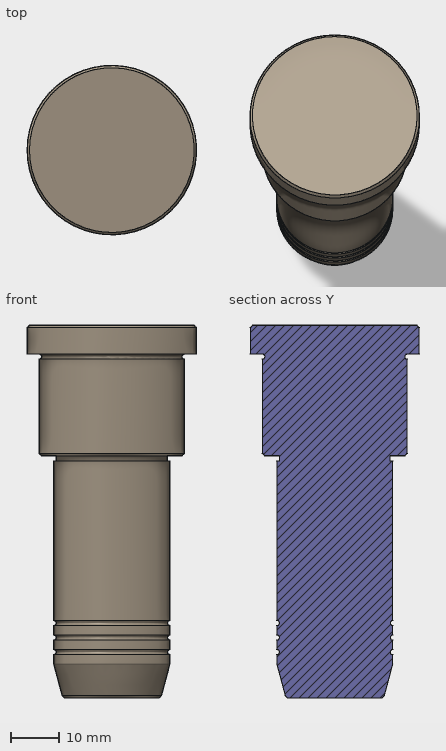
import cadquery as cq
import math

total_length = 77.0

head_radius = 35.0 / 2
head_height = 6.0

collar_radius = 30.0 / 2
collar_height = 21.0

shaft_radius = 24.0 / 2

chamfer = 0.5

shaft_relief_depth = 0.5
shaft_relief_height = 1.0

groove_radius = 0.5
shaft_groove_count = 3
shaft_groove_pitch = 3.0
lowest_groove_z = 9.5

lead_height = 7.0
lead_angle = 15.0

head_bottom_z = total_length - head_height
collar_bottom_z = head_bottom_z - collar_height
shaft_top_z = collar_bottom_z - shaft_relief_height
collar_groove_z = head_bottom_z - groove_radius


def make_shaft():
    """Shaft with a tapered lead-in, chamfered tip and a relief under the collar."""
    neck_radius = shaft_radius - shaft_relief_depth
    taper_per_height = math.tan(math.radians(lead_angle))
    chamfer_top_radius = shaft_radius - (lead_height - chamfer) * taper_per_height
    outline = [
        (0, 0),
        (-(chamfer_top_radius - chamfer), 0),
        (-chamfer_top_radius, chamfer),
        (-shaft_radius, lead_height),
        (-shaft_radius, shaft_top_z),
        (-neck_radius, shaft_top_z),
        (-neck_radius, collar_bottom_z),
        (0, collar_bottom_z),
    ]
    return revolve_outline(outline)


def make_collar():
    """Collar with a chamfered lower edge."""
    outline = [
        (0, collar_bottom_z),
        (-(collar_radius - chamfer), collar_bottom_z),
        (-collar_radius, collar_bottom_z + chamfer),
        (-collar_radius, head_bottom_z),
        (0, head_bottom_z),
    ]
    return revolve_outline(outline)


def make_head():
    """Head disc with a chamfered top edge."""
    outline = [
        (0, head_bottom_z),
        (-head_radius, head_bottom_z),
        (-head_radius, total_length - chamfer),
        (-(head_radius - chamfer), total_length),
        (0, total_length),
    ]
    return revolve_outline(outline)


def make_groove(body_radius, center_z):
    """Round ring centred on a cylinder's surface, cutting a half-round groove."""
    return cq.Workplane("XY").add(
        cq.Solid.makeTorus(body_radius, groove_radius, cq.Vector(0, 0, center_z), cq.Vector(0, 0, 1))
    )


def revolve_outline(outline):
    """Turn a closed outline of (x, z) points around the Z axis."""
    return cq.Workplane("XZ").polyline(outline).close().revolve(360, (0, 0, 0), (0, 1, 0))


collar = make_collar().cut(make_groove(collar_radius, collar_groove_z))

shaft = make_shaft()
for index in range(shaft_groove_count):
    groove_z = lowest_groove_z + index * shaft_groove_pitch
    shaft = shaft.cut(make_groove(shaft_radius, groove_z))

result = shaft.union(collar).union(make_head())